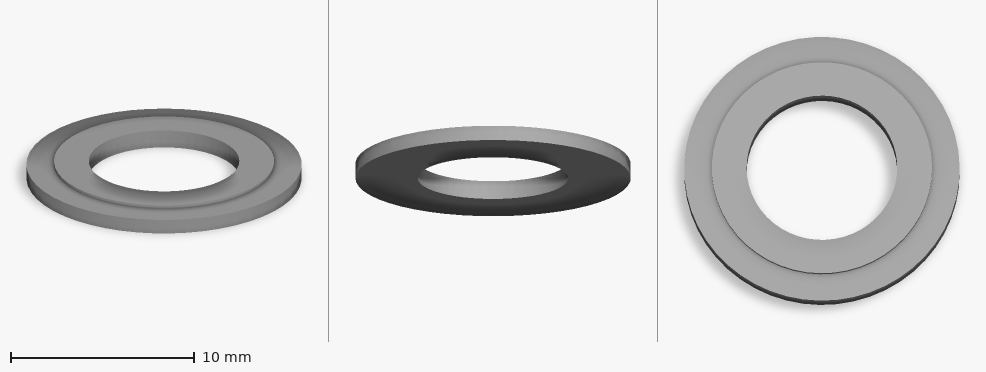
import cadquery as cq

flange_diameter = 15.0
collar_diameter = 12.0
bore_diameter = 8.2
total_height = 1.0
collar_height = 0.2
flange_height = total_height - collar_height

flange = cq.Workplane("XY").circle(flange_diameter / 2).extrude(flange_height)

stepped_disc = flange.faces(">Z").workplane().circle(collar_diameter / 2).extrude(collar_height)

result = stepped_disc.faces(">Z").workplane().hole(bore_diameter)